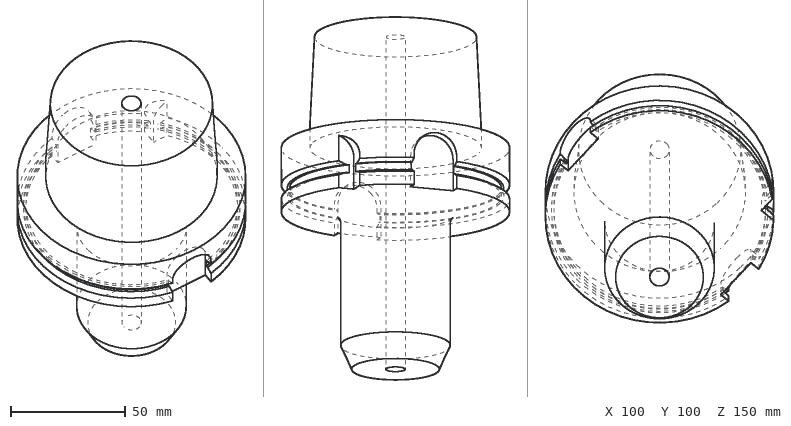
import cadquery as cq
import math

total_height = 150.0
flange_top = total_height * 2 / 3
flange_bottom = 71.0
taper_base = 110.0
nose_height = 10.8

flange_radius = flange_top / 2
taper_base_radius = 37.5
taper_ratio = 0.05
taper_top_radius = taper_base_radius - taper_ratio * (total_height - taper_base)
shank_radius = 24.0
tip_radius = 19.2
root_fillet = 5.0
bore_radius = 4.2

groove_bottom = 78.2
groove_top = 81.8
groove_radius = 46.4
groove_mouth_radius = 47.4
groove_chamfer = 1.4

slot_width = 20.0
slot_top = 95.0
drive_slot_floor = 44.4
offset_slot_floor = 31.6
offset_slot_y = 41.5


def turned_body():
    """Revolve the half profile of taper, flange and shank about Z."""
    arc_offset = root_fillet * (1 - math.sqrt(0.5))
    root_mid = (shank_radius + arc_offset, flange_bottom - arc_offset)
    return (
        cq.Workplane("XZ")
        .moveTo(0, 0)
        .lineTo(tip_radius, 0)
        .lineTo(shank_radius, nose_height)
        .lineTo(shank_radius, flange_bottom - root_fillet)
        .threePointArc(root_mid, (shank_radius + root_fillet, flange_bottom))
        .lineTo(flange_radius, flange_bottom)
        .lineTo(flange_radius, groove_bottom - groove_chamfer)
        .lineTo(groove_mouth_radius, groove_bottom)
        .lineTo(groove_radius, groove_bottom)
        .lineTo(groove_radius, groove_top)
        .lineTo(groove_mouth_radius, groove_top)
        .lineTo(flange_radius, groove_top + groove_chamfer)
        .lineTo(flange_radius, flange_top)
        .lineTo(taper_base_radius, flange_top)
        .lineTo(taper_base_radius, taper_base)
        .lineTo(taper_top_radius, total_height)
        .lineTo(0, total_height)
        .close()
        .revolve(360, (0, 0, 0), (0, 1, 0))
    )


def slot_cutter(center_y, floor_distance):
    """Slot on the -X side, open below and outward, with a flat floor facing -X."""
    half_width = slot_width / 2
    arch_start = slot_top - half_width
    return (
        cq.Workplane("YZ", origin=(-floor_distance, 0, 0))
        .moveTo(center_y - half_width, flange_bottom)
        .lineTo(center_y - half_width, arch_start)
        .threePointArc((center_y, slot_top), (center_y + half_width, arch_start))
        .lineTo(center_y + half_width, flange_bottom)
        .close()
        .extrude(-flange_radius)
    )


result = turned_body()

drive_slot = slot_cutter(0, drive_slot_floor)
for angle in (0, 180):
    result = result.cut(drive_slot.rotate((0, 0, 0), (0, 0, 1), angle))

result = result.cut(slot_cutter(offset_slot_y, offset_slot_floor))

bore = cq.Workplane("XY").circle(bore_radius).extrude(total_height)
result = result.cut(bore)